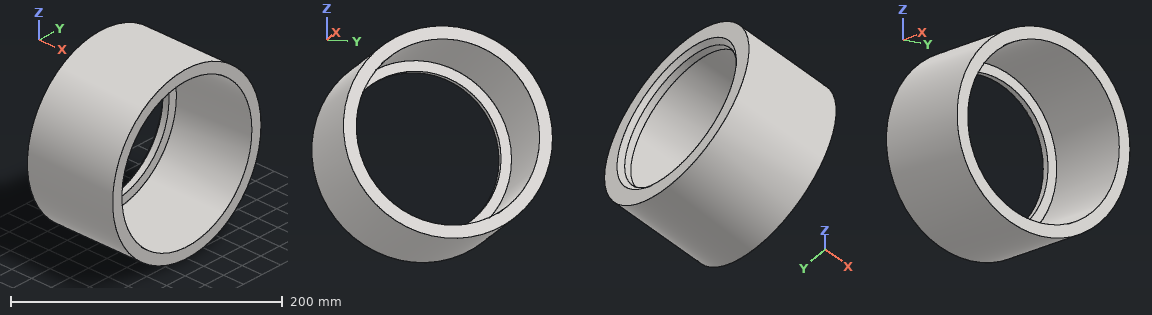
import cadquery as cq

outer_diameter = 160.0
length = 86.0
bore_diameter = 140.0
lip_diameter = 124.0
lip_width = 10.0
chamfer_size = 4.0

sleeve = (
    cq.Workplane("YZ", origin=(-length / 2, 0, 0))
    .circle(outer_diameter / 2)
    .circle(lip_diameter / 2)
    .extrude(length)
)

smallest_circle = cq.selectors.RadiusNthSelector(0)
sleeve = sleeve.faces("<X").edges(smallest_circle).chamfer(chamfer_size)

main_bore = (
    cq.Workplane("YZ", origin=(-length / 2 + lip_width, 0, 0))
    .circle(bore_diameter / 2)
    .extrude(length - lip_width)
)

result = sleeve.cut(main_bore)